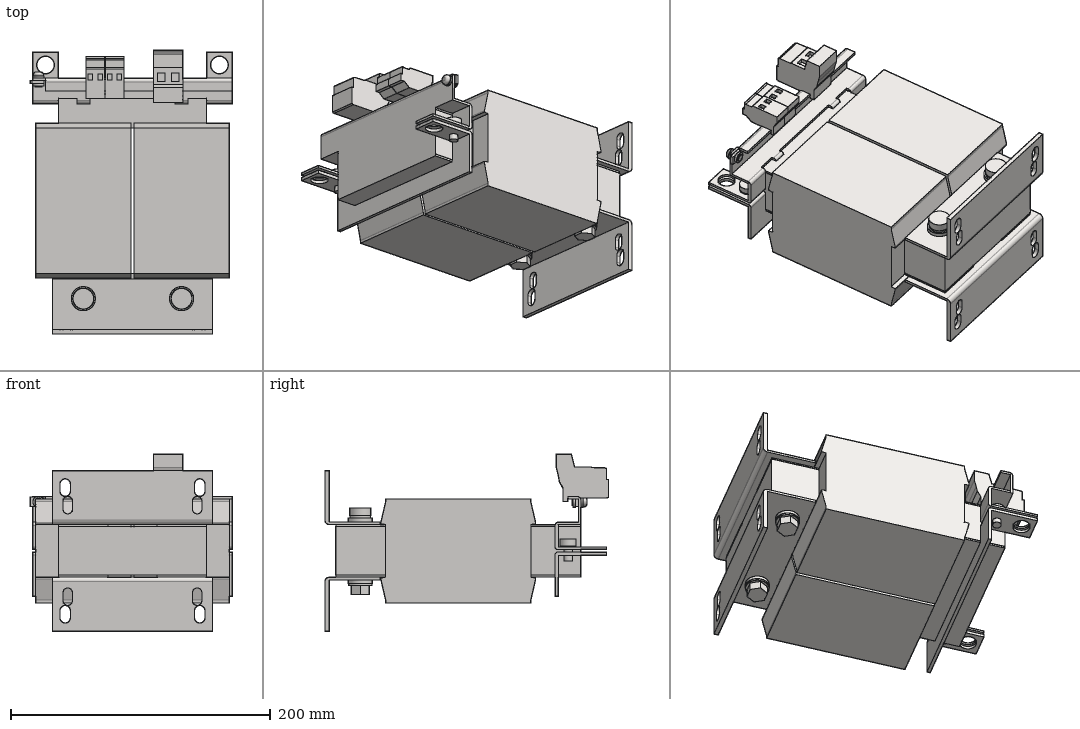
import cadquery as cq
import math


CORE_WIDTH = 114.2
CORE_DEPTH = 189.0
CORE_HEIGHT = 37.5
PAD_THICKNESS = 1.5
PAD_INSET = 0.2
FRONT_PAD_GAP = 38.0

COIL_TOTAL_WIDTH = 149.2
COIL_GAP = 2.2
COIL_DEPTH = 112.0
COIL_HEIGHT = 80.3
COIL_EDGE = 2.2
FLANGE_REACH = 3.7
FLANGE_LIP_BOTTOM = 0.5
FLANGE_LIP_TOP = 1.5

FOOT_WIDTH = 123.5
FOOT_FRONT_Y = -102.8
FOOT_BACK_Y = -60.1
FOOT_TOP_Z = 62.0
FOOT_PLATE = 2.2
FOOT_WALL = 3.5
OUTER_SLOT = (7.9, 13.3, 51.8, 48.8)
INNER_SLOT = (7.2, 13.3, 49.9, 35.2)

BOLT_X = 37.8
BOLT_Y = -75.5
BOLT_HEAD_DIAMETER = 16.5
BOLT_HEAD_TOP = 33.2
SPRING_WASHER_DIAMETER = 16.0
SPRING_WASHER_TOP = 27.1
WASHER_DIAMETER = 18.5
WASHER_TOP = 25.4
LOWER_WASHER_BOTTOM = -25.2
LOWER_SPRING_WASHER_DIAMETER = 18.2
LOWER_SPRING_WASHER_BOTTOM = -26.7
NUT_FLATS = 14.0
NUT_BOTTOM = -33.7

RAIL_WIDTH = 153.7
RAIL_SHEET = 2.0
RAIL_WALL = 2.6
RAIL_FRONT_Y = 74.5
RAIL_TOP_Z = 42.0
RAIL_FOOT_Z = 1.0
LIP_FRONT_Y = 84.6
LIP_SHEET = 2.2
LIP_BEND = 3.0
LIP_LEFT_X = -67.0
EAR_BACK_Y = 114.4
EAR_HOLE_DIAMETER = 13.3
EAR_HOLE_Y = 104.5
TAB_X = 37.8
TAB_WIDTH = 10.0
SHELF_FRONT_Y = 78.7
LOWER_EAR_TOP_Z = -0.9
LOWER_BEND = 2.2
LOWER_WALL_BOTTOM = -35.0

EAR_SCREW_Y = 84.6
EAR_SCREW_HEAD_DIAMETER = 12.5
EAR_SCREW_HEAD_BOTTOM = 4.0
EAR_SCREW_HEAD_TOP = 9.2
EAR_SCREW_NECK_DIAMETER = 11.0
EAR_SCREW_DIAMETER = 6.5
EAR_SCREW_BOTTOM = -7.9

EARTH_X = -72.4
EARTH_Z = 37.8
EARTH_DIAMETER = 8.0
EARTH_WASHER_DIAMETER = 8.5
EARTH_TAIL_DIAMETER = 5.7
EARTH_HEAD_FRONT_Y = 96.0
EARTH_WASHER_FRONT_Y = 88.4
EARTH_BACK_Y = 99.3
EARTH_FRONT_Y = 87.5
EARTH_ROUNDING = 2.6
CLAMP_LEFT_X = -78.7
CLAMP_RIGHT_X = -68.2
CLAMP_SHEET = 2.2
CLAMP_HEIGHT = 7.5

BIG_TERMINAL_X = 27.5
BIG_TERMINAL_WIDTH = 22.7
SMALL_TERMINAL_X = (-28.6, -13.8)
SMALL_TERMINAL_WIDTH = 14.7
TERMINAL_TOP_Z = 74.5
TERMINAL_BACK_Y = 116.0
POCKET_DEPTH = 3.3
BIG_POCKET_WIDTH = 5.7
BIG_POCKET_Y = (91.6, 98.5)
BIG_POLE_OFFSET = 5.5
SMALL_POCKET_WIDTH = 3.5
SMALL_POCKET_Y = (93.0, 97.5)
SMALL_POLE_OFFSET = 3.7

pad_top = CORE_HEIGHT / 2 + PAD_THICKNESS
core_back = CORE_DEPTH / 2
upright_back = core_back
upright_front = upright_back - RAIL_SHEET
coil_end = COIL_DEPTH / 2
coil_tip = coil_end + FLANGE_REACH
ear_width = (RAIL_WIDTH - CORE_WIDTH) / 2
wall_back = RAIL_FRONT_Y + RAIL_WALL
ear_x = (RAIL_WIDTH + CORE_WIDTH) / 4
shelf_top = pad_top + RAIL_SHEET
foot_plate_top = pad_top + FOOT_PLATE


def box(x0, x1, y0, y1, z0, z1):
    return cq.Workplane("XY").box(x1 - x0, y1 - y0, z1 - z0, centered=False).translate((x0, y0, z0))


def rod(x, y, z0, z1, diameter):
    return cq.Workplane("XY", origin=(x, y, z0)).circle(diameter / 2).extrude(z1 - z0)


def side_profile(points, x_centre, width):
    """Extrude a closed outline of (y, z) points along X, centred on x_centre."""
    start = cq.Workplane("YZ", origin=(x_centre - width / 2, 0, 0))
    return start.polyline(points).close().extrude(width)


def round_edge(body, y, z, radius):
    """Fillet the edge along X that passes nearest to (y, z) in the middle of the part."""
    return body.edges(cq.selectors.NearestToPointSelector((0, y, z))).fillet(radius)


def core():
    """Two yokes and two legs, with thin inset pads on the yokes under the sheet parts."""
    half = CORE_WIDTH / 2
    leg_inner = FRONT_PAD_GAP / 2
    low = CORE_HEIGHT / 2
    pad_half = half - PAD_INSET
    pad_front = PAD_INSET - core_back
    body = box(-half, half, coil_end, core_back, -low, low)
    body = body.union(box(-half, half, -core_back, -coil_end, -low, low))
    body = body.union(box(-pad_half, pad_half, coil_end, core_back, -pad_top, pad_top))
    for side in (-1, 1):
        leg_x = sorted((side * leg_inner, side * half))
        pad_x = sorted((side * leg_inner, side * pad_half))
        body = body.union(box(*leg_x, -coil_end, coil_end, -low, low))
        body = body.union(box(*pad_x, pad_front, -coil_end, -pad_top, pad_top))
    return body


def coils():
    """Two wound blocks; their tapered ends overhang the yokes above and below."""
    top = COIL_HEIGHT / 2
    quarter = [
        (coil_end, pad_top),
        (coil_tip, pad_top + FLANGE_LIP_BOTTOM),
        (coil_tip, pad_top + FLANGE_LIP_TOP),
        (coil_end, top - COIL_EDGE),
        (coil_end, top),
    ]
    back = [(y, -z) for y, z in reversed(quarter)] + quarter
    front = [(-y, -z) for y, z in back]
    width = (COIL_TOTAL_WIDTH - COIL_GAP) / 2
    offset = (width + COIL_GAP) / 2
    return side_profile(back + front, -offset, width).union(side_profile(back + front, offset, width))


def front_foot():
    """Upper angle bracket: plate on the core, wall standing up, two slots at each end."""
    half = FOOT_WIDTH / 2
    foot = box(-half, half, FOOT_FRONT_Y, FOOT_BACK_Y, pad_top, foot_plate_top)
    foot = foot.union(box(-half, half, FOOT_FRONT_Y, FOOT_FRONT_Y + FOOT_WALL, pad_top, FOOT_TOP_Z))
    foot = round_edge(foot, FOOT_FRONT_Y, pad_top, FOOT_WALL)
    for width, length, x, z in (OUTER_SLOT, INNER_SLOT):
        slots = (
            cq.Workplane("XZ", origin=(0, FOOT_FRONT_Y + FOOT_WALL, 0))
            .pushPoints([(-x, z), (x, z)])
            .slot2D(length, width, 90)
            .extrude(FOOT_WALL)
        )
        foot = foot.cut(slots)
    return foot


def core_bolt(x):
    """Bolt head with washers above the upper foot, washer and nut below the lower one."""
    bolt = rod(x, BOLT_Y, foot_plate_top, WASHER_TOP, WASHER_DIAMETER)
    bolt = bolt.union(rod(x, BOLT_Y, WASHER_TOP, SPRING_WASHER_TOP, SPRING_WASHER_DIAMETER))
    bolt = bolt.union(rod(x, BOLT_Y, SPRING_WASHER_TOP, BOLT_HEAD_TOP, BOLT_HEAD_DIAMETER))
    bolt = bolt.union(rod(x, BOLT_Y, LOWER_WASHER_BOTTOM, -foot_plate_top, WASHER_DIAMETER))
    bolt = bolt.union(rod(x, BOLT_Y, LOWER_SPRING_WASHER_BOTTOM, LOWER_WASHER_BOTTOM,
                          LOWER_SPRING_WASHER_DIAMETER))
    nut = (
        cq.Workplane("XY", origin=(x, BOLT_Y, NUT_BOTTOM))
        .polygon(6, NUT_FLATS / math.cos(math.pi / 6))
        .extrude(LOWER_SPRING_WASHER_BOTTOM - NUT_BOTTOM)
    )
    return bolt.union(nut)


def ear(x, z0, z1):
    """Holed flat lug behind the bracket wall."""
    plate = box(x - ear_width / 2, x + ear_width / 2, wall_back, EAR_BACK_Y, z0, z1)
    return plate.cut(rod(x, EAR_HOLE_Y, z0, z1, EAR_HOLE_DIAMETER))


def terminal_rail():
    """Folded sheet: ears, front wall, shelf on the yoke, upright and top lip."""
    half = RAIL_WIDTH / 2
    ear_top = RAIL_FOOT_Z + RAIL_SHEET
    rail = box(-half, half, RAIL_FRONT_Y, wall_back, RAIL_FOOT_Z, shelf_top)
    rail = rail.union(box(-half, half, RAIL_FRONT_Y, upright_back, pad_top, shelf_top))
    rail = round_edge(rail, RAIL_FRONT_Y, shelf_top, RAIL_WALL)
    rail = round_edge(rail, RAIL_FRONT_Y, RAIL_FOOT_Z, RAIL_SHEET)
    upright = box(LIP_LEFT_X, half, upright_front, upright_back, pad_top, RAIL_TOP_Z)
    lip = box(LIP_LEFT_X, half, LIP_FRONT_Y, upright_back, RAIL_TOP_Z - LIP_SHEET, RAIL_TOP_Z)
    upright = upright.union(lip)
    upright = upright.edges(">Y and >Z").fillet(LIP_BEND)
    earth_wall = box(-half, LIP_LEFT_X, upright_front, upright_back, pad_top, RAIL_TOP_Z)
    rail = rail.union(upright).union(earth_wall)

    tab_inner = TAB_X - TAB_WIDTH / 2
    tab_outer = TAB_X + TAB_WIDTH / 2
    core_half = CORE_WIDTH / 2
    for x0, x1 in ((-core_half, -tab_outer), (-tab_inner, tab_inner), (tab_outer, core_half)):
        rail = rail.cut(box(x0, x1, RAIL_FRONT_Y, SHELF_FRONT_Y, pad_top, shelf_top))
    for x in (-ear_x, ear_x):
        rail = rail.union(ear(x, RAIL_FOOT_Z, ear_top))
    return rail


def lower_bracket():
    """Angle under the rail: ears and a wall hanging down across the yoke."""
    half = RAIL_WIDTH / 2
    ear_bottom = LOWER_EAR_TOP_Z - RAIL_WALL
    bracket = box(-half, half, RAIL_FRONT_Y, wall_back, LOWER_WALL_BOTTOM, LOWER_EAR_TOP_Z)
    for x in (-ear_x, ear_x):
        bracket = bracket.union(ear(x, ear_bottom, LOWER_EAR_TOP_Z))
    return bracket.edges("|X and <Y and >Z").fillet(LOWER_BEND)


def ear_screw(x):
    """Screw that clamps the ears of the rail and the lower bracket together."""
    screw = rod(x, EAR_SCREW_Y, EAR_SCREW_HEAD_BOTTOM, EAR_SCREW_HEAD_TOP, EAR_SCREW_HEAD_DIAMETER)
    screw = screw.union(rod(x, EAR_SCREW_Y, RAIL_FOOT_Z, EAR_SCREW_HEAD_BOTTOM, EAR_SCREW_NECK_DIAMETER))
    return screw.union(rod(x, EAR_SCREW_Y, EAR_SCREW_BOTTOM, EAR_SCREW_HEAD_BOTTOM, EAR_SCREW_DIAMETER))


def disc(y_back, y_front, diameter):
    """Round slice of the earth screw, along Y."""
    start = cq.Workplane("XZ", origin=(EARTH_X, y_back, EARTH_Z))
    return start.circle(diameter / 2).extrude(y_back - y_front)


def earth_screw():
    """Domed screw through the left end of the upright, with washers and a square clamp."""
    head = disc(EARTH_BACK_Y, EARTH_HEAD_FRONT_Y, EARTH_DIAMETER).edges(">Y").fillet(EARTH_ROUNDING)
    clamp_front = upright_front - CLAMP_SHEET
    half = CLAMP_HEIGHT / 2
    clamp = box(CLAMP_LEFT_X, CLAMP_RIGHT_X, clamp_front, upright_front, EARTH_Z - half, EARTH_Z + half)
    screw = head.union(disc(EARTH_HEAD_FRONT_Y, upright_back, EARTH_WASHER_DIAMETER)).union(clamp)
    screw = screw.union(disc(clamp_front, EARTH_WASHER_FRONT_Y, EARTH_WASHER_DIAMETER))
    return screw.union(disc(EARTH_WASHER_FRONT_Y, EARTH_FRONT_Y, EARTH_TAIL_DIAMETER))


def pockets(x_centre, pole_offset, width, y_range, deck):
    """Cutter for the two square openings in a terminal deck."""
    floor = deck - POCKET_DEPTH
    left = x_centre - pole_offset - width / 2
    right = x_centre + pole_offset - width / 2
    return box(left, left + width, *y_range, floor, deck).union(
        box(right, right + width, *y_range, floor, deck)
    )


def big_terminal():
    """Two-pole terminal with a raised front ridge, hooked over the lip."""
    deck = 64.7
    outline = [
        (TERMINAL_BACK_Y, 41.3), (TERMINAL_BACK_Y, 55.1), (114.4, 55.1), (114.4, 63.5), (112.8, 64.0),
        (102.5, 64.3), (102.5, deck), (89.7, deck), (87.3, TERMINAL_TOP_Z),
        (75.5, TERMINAL_TOP_Z), (75.5, 64.0), (77.0, 58.0), (77.9, 53.1), (80.7, 48.0),
        (80.7, 38.0), (84.5, 38.0), (84.5, 40.7), (114.4, 40.7),
    ]
    body = side_profile(outline, BIG_TERMINAL_X, BIG_TERMINAL_WIDTH)
    return body.cut(pockets(BIG_TERMINAL_X, BIG_POLE_OFFSET, BIG_POCKET_WIDTH, BIG_POCKET_Y, deck))


def small_terminal(x_centre):
    """Low two-pole terminal, hooked over the lip."""
    deck = 58.2
    ledge = 51.2
    ledge_back = 111.0
    outline = [
        (ledge_back, 45.3), (ledge_back, ledge), (109.5, ledge), (109.5, 57.3), (108.3, 56.6),
        (102.8, 56.6), (101.5, deck), (78.7, deck), (78.7, 52.7), (82.2, 46.1), (82.2, 38.0),
        (84.5, 38.0), (84.5, 41.3), (102.8, 41.3), (107.8, 45.3),
    ]
    body = side_profile(outline, x_centre, SMALL_TERMINAL_WIDTH)
    return body.cut(pockets(x_centre, SMALL_POLE_OFFSET, SMALL_POCKET_WIDTH, SMALL_POCKET_Y, deck))


upper_foot = front_foot()
parts = [
    coils(),
    upper_foot,
    upper_foot.mirror("XY"),
    core_bolt(-BOLT_X),
    core_bolt(BOLT_X),
    terminal_rail(),
    lower_bracket(),
    ear_screw(-ear_x),
    ear_screw(ear_x),
    earth_screw(),
    big_terminal(),
]
parts += [small_terminal(x) for x in SMALL_TERMINAL_X]

result = core()
for part in parts:
    result = result.union(part)